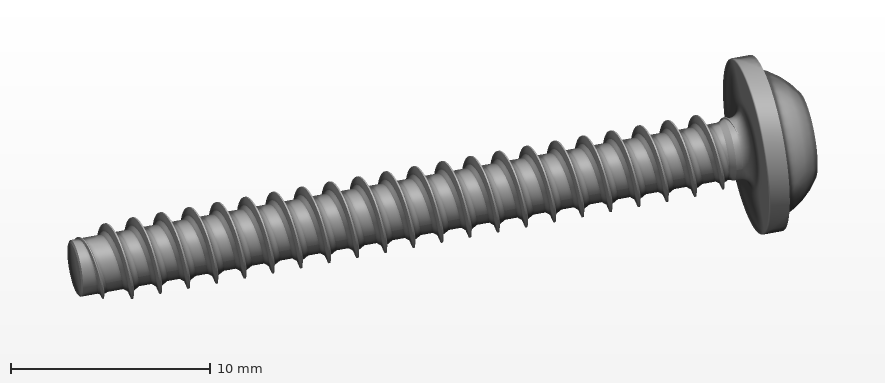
import cadquery as cq
import math

total_length = 38.1
shaft_length = 34.98

flange_radius = 4.5
flange_thickness = 1.05
flange_edge_round = 0.08
dome_base_radius = 3.85
dome_top_radius = 2.25
head_height = total_length - shaft_length
dome_height = head_height - flange_thickness

core_radius = 1.45
neck_radius = 1.55
neck_fillet = 0.6
neck_length = 0.9
neck_taper_length = 0.35
tip_radius = 1.35
tip_taper_length = 0.15
tip_cone_height = 0.08

thread_start = 0.35
thread_length = 34.35
thread_turns = 23.5
pitch = thread_length / thread_turns
start_fade_turns = 1.25
end_fade_turns = 1.1
end_scale = 0.15
stretches_per_turn = 2
steps_per_stretch = 6
thread_root_radius = 1.37
thread_crest_height = 0.65
thread_knee_height = 0.248
foot_reach_to_tip = 0.45
foot_reach_to_head = 0.6
knee_half_width = 0.15
crest_half_width = 0.05
thread_section = [
    (0, -foot_reach_to_tip),
    (thread_knee_height, -knee_half_width),
    (thread_crest_height, -crest_half_width),
    (thread_crest_height, crest_half_width),
    (thread_knee_height, knee_half_width),
    (0, foot_reach_to_head),
]


def make_body():
    """Revolve the head and the shaft without thread about the Y axis."""
    center_offset = (dome_base_radius**2 - dome_top_radius**2 - dome_height**2) / (2 * dome_height)
    sphere_radius = math.hypot(dome_base_radius, center_offset)
    middle_angle = (
        math.atan2(center_offset, dome_base_radius)
        + math.atan2(center_offset + dome_height, dome_top_radius)
    ) / 2
    dome_middle = (
        sphere_radius * math.cos(middle_angle),
        flange_thickness - center_offset + sphere_radius * math.sin(middle_angle),
    )
    fillet_middle = neck_fillet * (1 - math.sqrt(0.5))

    return (
        cq.Workplane("XY")
        .moveTo(0, -shaft_length)
        .lineTo(tip_radius, -shaft_length + tip_cone_height)
        .lineTo(core_radius, -shaft_length + tip_taper_length)
        .lineTo(core_radius, -neck_length - neck_taper_length)
        .lineTo(neck_radius, -neck_length)
        .lineTo(neck_radius, -neck_fillet)
        .threePointArc(
            (neck_radius + fillet_middle, -fillet_middle),
            (neck_radius + neck_fillet, 0),
        )
        .lineTo(flange_radius - flange_edge_round, 0)
        .radiusArc((flange_radius, flange_edge_round), -flange_edge_round)
        .lineTo(flange_radius, flange_thickness)
        .lineTo(dome_base_radius, flange_thickness)
        .threePointArc(dome_middle, (dome_top_radius, head_height))
        .lineTo(0, head_height)
        .close()
        .revolve(360, (0, 0, 0), (0, 1, 0))
    )


def section_scale(turn):
    """Relative height of the thread section at a given turn: one except in the fades."""
    start_fade = turn / start_fade_turns
    end_fade = (thread_turns - turn) / end_fade_turns
    return end_scale + (1 - end_scale) * min(1.0, start_fade, end_fade)


def thread_point(turn, height, offset):
    """Place one corner of the thread section at a given turn along the helix."""
    scale = section_scale(turn)
    radius = thread_root_radius + scale * height
    axial_offset = math.sqrt(scale) * offset
    angle = 2 * math.pi * turn - math.pi / 2
    return cq.Vector(
        radius * math.sin(angle),
        -shaft_length + thread_start + pitch * turn + axial_offset,
        radius * math.cos(angle),
    )


def thread_corner_edges(first_turn, last_turn):
    """Helical edges through all corners of the thread section over one stretch of the thread."""
    step = (last_turn - first_turn) / steps_per_stretch
    turns = [first_turn + step * index for index in range(steps_per_stretch + 1)]
    return [
        cq.Edge.makeSpline([thread_point(turn, height, offset) for turn in turns])
        for height, offset in thread_section
    ]


def end_cap(corner_points):
    """Flat face closing one end of the thread."""
    return cq.Face.makeFromWires(cq.Wire.makePolygon(corner_points, close=True))


def make_thread():
    """Close ruled flanks between the helical corner edges into a solid, stretch by stretch."""
    stretch_count = round(thread_turns * stretches_per_turn)
    stretches = [
        thread_corner_edges(index / stretches_per_turn, (index + 1) / stretches_per_turn)
        for index in range(stretch_count)
    ]
    faces = [
        cq.Face.makeRuledSurface(edges[index - 1], edges[index])
        for edges in stretches
        for index in range(len(edges))
    ]
    faces.append(end_cap([edge.startPoint() for edge in stretches[0]]))
    faces.append(end_cap([edge.endPoint() for edge in stretches[-1]]))
    return cq.Solid.makeSolid(cq.Shell.makeShell(faces))


result = make_body().union(cq.Workplane(obj=make_thread()))